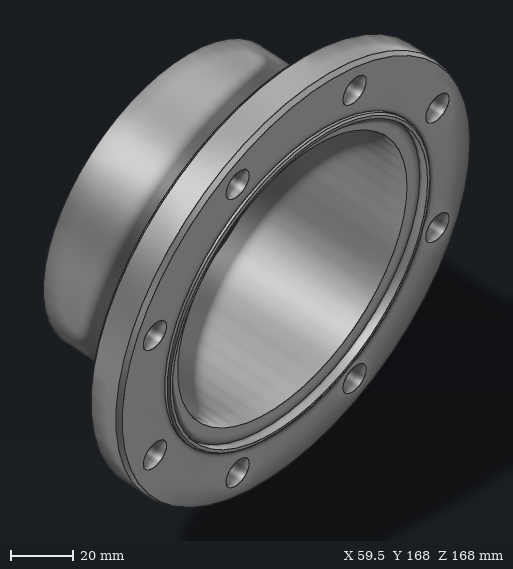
import cadquery as cq
import math

total_length = 59.5
bore_diameter = 109.7
pipe_diameter = 114.2
flange_diameter = 168.0
flange_thickness = 13.8
face_diameter = 125.7
face_height = 1.7
neck_fillet = 4.0
face_chamfer = 0.7
recess_diameter = 122.0
recess_depth = 3.4

back_rim_drop = 1.0
front_rim_drop = 0.8
back_chamfer_length = 1.0
front_chamfer_length = 2.0

bolt_count = 8
bolt_circle_diameter = 146.2
bolt_hole_diameter = 11.1

bore_radius = bore_diameter / 2
pipe_radius = pipe_diameter / 2
flange_radius = flange_diameter / 2
face_radius = face_diameter / 2
recess_radius = recess_diameter / 2
back_rim_radius = flange_radius - back_rim_drop
front_rim_radius = flange_radius - front_rim_drop

pipe_end = -total_length / 2
face_end = total_length / 2
flange_front = face_end - face_height
recess_floor = face_end - recess_depth
flange_back = flange_front - flange_thickness


def flange_body():
    """Revolve the radial section of pipe, neck fillet, flange, raised face and recess."""
    arc_offset = neck_fillet * (1 - math.sqrt(0.5))
    neck_middle = (flange_back - arc_offset, pipe_radius + arc_offset)
    section = (
        cq.Workplane("XY")
        .moveTo(pipe_end, bore_radius)
        .lineTo(pipe_end, pipe_radius)
        .lineTo(flange_back - neck_fillet, pipe_radius)
        .threePointArc(neck_middle, (flange_back, pipe_radius + neck_fillet))
        .lineTo(flange_back, back_rim_radius)
        .lineTo(flange_back + back_chamfer_length, flange_radius)
        .lineTo(flange_front - front_chamfer_length, flange_radius)
        .lineTo(flange_front, front_rim_radius)
        .lineTo(flange_front, face_radius)
        .lineTo(face_end - face_chamfer, face_radius)
        .lineTo(face_end, face_radius - face_chamfer)
        .lineTo(face_end, recess_radius)
        .lineTo(recess_floor, recess_radius)
        .lineTo(recess_floor, bore_radius)
        .close()
    )
    return section.revolve(360, (0, 0, 0), (1, 0, 0))


def bolt_holes():
    """Through holes straddling the Y and Z axes by half a pitch."""
    first_angle = 180 / bolt_count
    return (
        cq.Workplane("YZ", origin=(flange_back, 0, 0))
        .polarArray(bolt_circle_diameter / 2, first_angle, 360, bolt_count)
        .circle(bolt_hole_diameter / 2)
        .extrude(flange_thickness)
    )


result = flange_body().cut(bolt_holes())